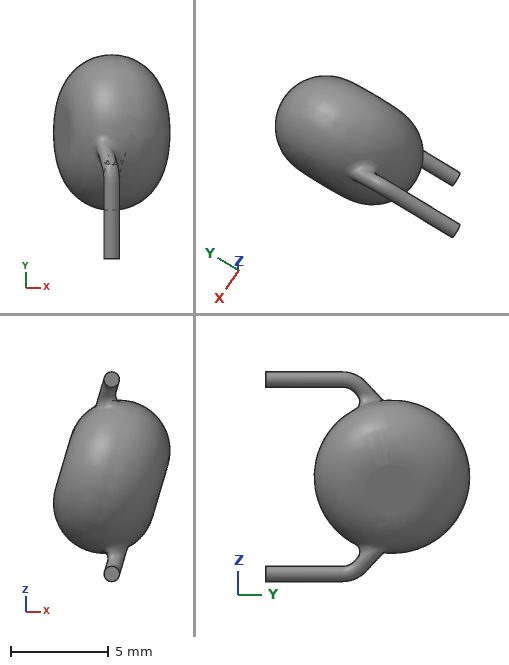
import cadquery as cq
import math

body_diameter = 8.0
flat_diameter = 2.8
lean_angle = 16.5

overall_height = 10.8
lead_diameter = 0.8
lead_end_y = -6.49
lead_straight_length = 3.94
bend_radius = 1.22
bend_angle = 48.0
inner_leg_length = 2.59
root_fillet = 0.5

body_radius = body_diameter / 2
flat_radius = flat_diameter / 2
rim_radius = body_radius - flat_radius
lead_height = (overall_height - lead_diameter) / 2
lean = math.radians(lean_angle)
bend = math.radians(bend_angle)


def make_body():
    """Revolve the half section about X, then lean the top of the disc towards +X."""
    section = (
        cq.Workplane("XY")
        .moveTo(-rim_radius, 0)
        .lineTo(-rim_radius, flat_radius)
        .threePointArc((0, body_radius), (rim_radius, flat_radius))
        .lineTo(rim_radius, 0)
        .close()
    )
    disc = section.revolve(360, (0, 0, 0), (1, 0, 0))
    return disc.rotate((0, 0, 0), (0, 1, 0), lean_angle)


def make_upper_lead():
    """Straight run along +Y, a bend down, then a straight leg into the body."""
    leaning_plane = cq.Plane(
        origin=(0, lead_end_y, lead_height),
        xDir=(0, 1, 0),
        normal=(math.cos(lean), 0, -math.sin(lean)),
    )

    def bend_point(angle):
        along = lead_straight_length + bend_radius * math.sin(angle)
        return along, -bend_radius * (1 - math.cos(angle))

    bend_end = bend_point(bend)
    inner_end = (
        bend_end[0] + inner_leg_length * math.cos(bend),
        bend_end[1] - inner_leg_length * math.sin(bend),
    )
    path = (
        cq.Workplane(leaning_plane)
        .lineTo(lead_straight_length, 0)
        .threePointArc(bend_point(bend / 2), bend_end)
        .lineTo(*inner_end)
    )
    end_plane = cq.Plane(origin=(0, lead_end_y, lead_height), xDir=(1, 0, 0), normal=(0, 1, 0))
    return cq.Workplane(end_plane).circle(lead_diameter / 2).sweep(path)


def fillet_root(part, side):
    """Fillet the closed joint where one lead enters the body (side: 1 upper, -1 lower)."""
    curves = part.edges("%BSPLINE").vals()
    joint = [edge for edge in curves if edge.Center().z * side > 0]
    return part.newObject(joint).fillet(root_fillet)


upper_lead = make_upper_lead()
lower_lead = upper_lead.rotate((0, 0, 0), (0, 1, 0), 180)

result = make_body().union(upper_lead).union(lower_lead)
for side in (1, -1):
    result = fillet_root(result, side)